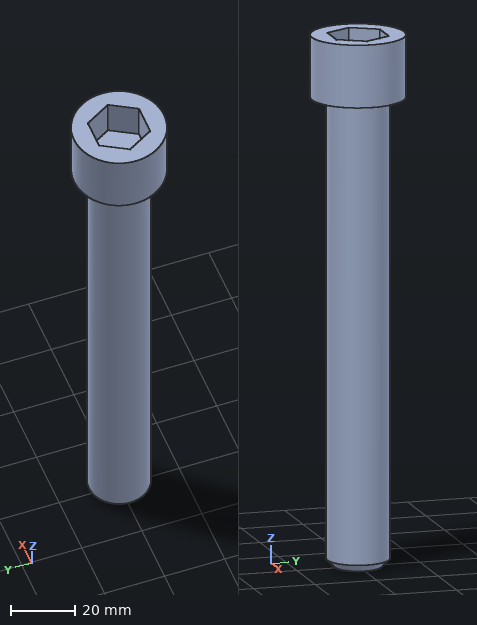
import cadquery as cq
import math

total_length = 170.0
head_diameter = 30.0
head_height = 20.0
shank_diameter = 20.0
tip_chamfer = 2.5
socket_across_flats = 17.0
socket_depth = 12.0

shank_length = total_length - head_height
socket_across_corners = socket_across_flats / math.cos(math.radians(30))

head = cq.Workplane("XY").circle(head_diameter / 2).extrude(head_height)

shank = (
    cq.Workplane("XY")
    .circle(shank_diameter / 2)
    .extrude(-shank_length)
    .faces("<Z")
    .chamfer(tip_chamfer)
)

socket = (
    cq.Workplane("XY")
    .workplane(offset=head_height)
    .polygon(6, socket_across_corners)
    .extrude(-socket_depth)
)

result = head.union(shank).cut(socket)